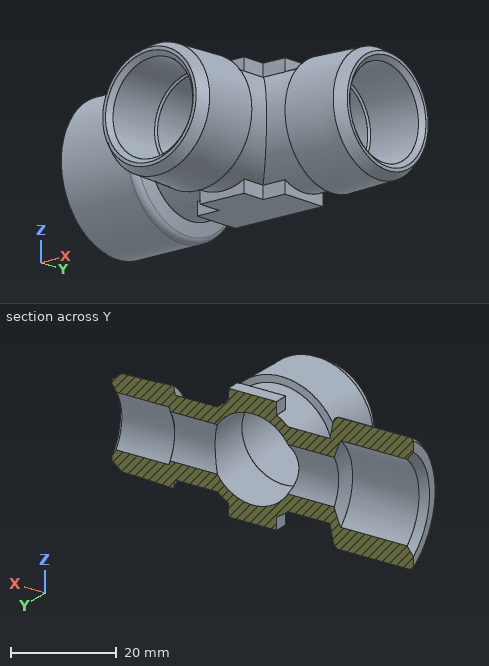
import cadquery as cq
import math


body_radius = 12.0
socket_reach = 36.5
spigot_reach = 32.0
through_bore_radius = 9.5

socket_radius = 16.0
socket_length = 19.0
socket_edge_chamfer = 0.5
socket_back_angle = math.radians(14)
socket_back_fillet = 1.5
socket_bore_radius = 24.12 / 2
socket_bore_depth = 16.5
socket_mouth_radius = 13.5
socket_mouth_angle = math.radians(45)

taper = 1 / 32
gauge_radius = 13.3
gauge_length = 9.5
spigot_length = 14.5
spigot_back_length = 0.4
spigot_nose_length = 2.35
spigot_nose_angle = math.radians(30)
spigot_bore_radius = 10.0
spigot_bore_depth = 13.0
spigot_mouth_radius = 11.0
spigot_mouth_angle = math.radians(45)
drill_angle = math.radians(60)

flat_length = 22.0
flat_width = flat_length / 2
flat_stem_reach = flat_width
flats_height = 27.0


def revolve_about_x(profile):
    """Revolve a closed (x, radius) profile about the X axis."""
    return profile.close().revolve(360, (0, 0, 0), (1, 0, 0))


def to_branch(shape):
    """Turn a shape from the +X arm onto the -Y branch."""
    return shape.rotate((0, 0, 0), (0, 0, 1), -90)


def socket_outside():
    """Solid socket with a chamfered rim and a rounded, conical back."""
    face = -socket_reach
    back = face + socket_length
    slope = math.tan(socket_back_angle)
    sharp_corner = back - (socket_radius - body_radius) * slope
    fillet_angle = math.pi / 2 - socket_back_angle
    fillet_start = sharp_corner - socket_back_fillet * math.tan(fillet_angle / 2)

    def on_fillet(angle):
        x = fillet_start + socket_back_fillet * math.sin(angle)
        radius = socket_radius - socket_back_fillet * (1 - math.cos(angle))
        return x, radius

    return revolve_about_x(
        cq.Workplane("XY")
        .moveTo(face, 0)
        .lineTo(face, socket_radius - socket_edge_chamfer)
        .lineTo(face + socket_edge_chamfer, socket_radius)
        .lineTo(fillet_start, socket_radius)
        .threePointArc(on_fillet(fillet_angle / 2), on_fillet(fillet_angle))
        .lineTo(back, body_radius)
        .lineTo(back, 0)
    )


def spigot_outside():
    """Solid tapered spigot on the +X arm."""

    def taper_radius(distance_from_face):
        return gauge_radius + (distance_from_face - gauge_length) * taper

    face = spigot_reach
    back = face - spigot_length
    shoulder_distance = spigot_length - spigot_back_length
    nose_radius = taper_radius(spigot_nose_length)
    face_radius = nose_radius - spigot_nose_length * math.tan(spigot_nose_angle)
    return revolve_about_x(
        cq.Workplane("XY")
        .moveTo(back, 0)
        .lineTo(back, body_radius)
        .lineTo(face - shoulder_distance, taper_radius(shoulder_distance))
        .lineTo(face - spigot_nose_length, nose_radius)
        .lineTo(face, face_radius)
        .lineTo(face, 0)
    )


def stepped_bore(reach, bore_radius, bore_depth, mouth_radius, mouth_angle):
    """Bore from the crossing to a face at +X: narrow, drill cone, wide, flared mouth."""
    mouth_depth = (mouth_radius - bore_radius) / math.tan(mouth_angle)
    cone_length = (bore_radius - through_bore_radius) / math.tan(drill_angle)
    bottom = reach - bore_depth
    return revolve_about_x(
        cq.Workplane("XY")
        .lineTo(0, through_bore_radius)
        .lineTo(bottom - cone_length, through_bore_radius)
        .lineTo(bottom, bore_radius)
        .lineTo(reach - mouth_depth, bore_radius)
        .lineTo(reach, mouth_radius)
        .lineTo(reach, 0)
    )


def body():
    """Plain cylinders that run from the socket to the middle of each spigot."""
    run_start = socket_length - socket_reach
    arm_end = spigot_reach - spigot_length / 2
    run = cq.Workplane("YZ", origin=(run_start, 0, 0)).circle(body_radius).extrude(arm_end - run_start)
    branch = cq.Workplane("XZ").circle(body_radius).extrude(arm_end)
    return run.union(branch)


def flats():
    """T-shaped block that stands proud of the body above and below."""
    bar = cq.Workplane("XY").box(flat_length, flat_width, flats_height)
    stem = (
        cq.Workplane("XY")
        .box(flat_width, flat_stem_reach, flats_height)
        .translate((0, -flat_stem_reach / 2, 0))
    )
    return bar.union(stem)


spigot = spigot_outside()
spigot_bore = stepped_bore(
    spigot_reach, spigot_bore_radius, spigot_bore_depth, spigot_mouth_radius, spigot_mouth_angle
)
socket_bore = stepped_bore(
    socket_reach, socket_bore_radius, socket_bore_depth, socket_mouth_radius, socket_mouth_angle
).mirror("YZ")

result = body().union(flats()).union(socket_outside()).union(spigot).union(to_branch(spigot))
for bore in (socket_bore, spigot_bore, to_branch(spigot_bore)):
    result = result.cut(bore)